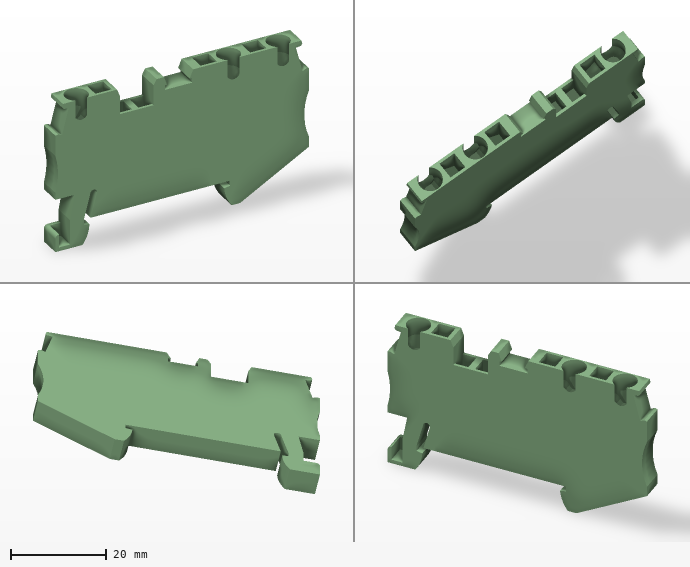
import cadquery as cq
import math


length = 60.4
thickness = 5.15
height = 35.3
end_y = length / 2

latch = [
    (28.4, height),
    (28.55, 34.4),
    (28.2, 34.0),
    (27.05, 33.9),
    (28.6, 27.8),
    (29.6, 28.25),
    (end_y, 28.1),
]

front_waist_top, front_waist_bottom, front_waist_depth = 23.2, 14.3, 0.6
back_waist_top, back_waist_bottom, back_waist_depth = 22.9, 11.55, 1.15

rail_z = 6.05
back_corner_z = 9.2
hook_lip_z = 4.6
hook_inner_z = 4.85
hook_curve_z = 2.25
back_hook_y = 11.4
back_hook_toe = (13.8, 0)
back_hook_heel = (11.8, 0)
back_hook_curve = (10.5, hook_curve_z)
back_hook_lip = (9.95, hook_lip_z)
spring_root_z = 12.6
slit_mouth_inner_y = -21.8
slit_inner = (-20.3, 11.85)
slit_end = (-21.1, spring_root_z)
slit_outer = (-21.9, 11.7)
spring_inner_y = -23.45
spring_hook_lip = (-22.1, hook_lip_z)
spring_hook_curve = (-22.5, hook_curve_z)
spring_hook_heel = (-23.75, 0)
spring_root_y = -25.6
spring_bend_z = 6.75
spring_tip_z = 4.05
tab_wall = 0.9
spring_tip_radius = tab_wall
spring_outer_y = -26.7

groove_floor_z = 32.15
groove_lip_z = 33.3
groove_back_y, groove_back_lip_y, groove_back_top_y = 2.35, 1.75, 2.6
groove_front_y, groove_front_lip_y, groove_front_top_y = -4.1, -3.6, -4.35
slot_floor_z = 29.2
slot_back_y = -6.8
slot_front_y = -14.85
slot_back_bevel_z, slot_back_top_y = 33.95, -6.1
slot_front_bevel_z, slot_front_top_y = 33.6, -15.5

funnel_places = [(24.05, 1), (12.2, 1), (-24.05, -1)]
entry_radius = 2.65
entry_x = 0.3
entry_depth = 4.2
throat_radius = 1.45
throat_x = 0.1
cone_depth = 2.7
ramp_break = 1.95
ramp_break_depth = 2.0
ramp_foot = 1.2

pocket_width = 3.85
pocket_places = [(18.4, 1), (6.65, 1), (-18.4, -1)]
pocket_depth = 4.2
pocket_floor_angle = 38.0

jumper_depth = 4.85
jumper_back_length = 3.25
jumper_front_length = 3.2


def prism(points, x_min, x_max):
    """Extrude a YZ polygon between two X positions."""
    return cq.Workplane("YZ", origin=(x_min, 0, 0)).polyline(points).close().extrude(x_max - x_min)


def middle(a, b):
    return (a + b) / 2


def body():
    front_latch = [(-y, z) for y, z in latch]
    outline = (
        cq.Workplane("YZ", origin=(-thickness / 2, 0, 0))
        .polyline(latch)
        .lineTo(end_y, back_waist_top)
        .threePointArc(
            (end_y - back_waist_depth, middle(back_waist_top, back_waist_bottom)),
            (end_y, back_waist_bottom),
        )
        .lineTo(end_y, back_corner_z)
        .lineTo(*back_hook_toe)
        .lineTo(*back_hook_heel)
        .threePointArc(back_hook_curve, back_hook_lip)
        .lineTo(back_hook_y, hook_inner_z)
        .lineTo(back_hook_y, rail_z)
        .lineTo(slit_mouth_inner_y, rail_z)
        .lineTo(*slit_inner)
        .threePointArc(slit_end, slit_outer)
        .lineTo(spring_inner_y, rail_z)
        .lineTo(spring_inner_y, hook_inner_z)
        .lineTo(*spring_hook_lip)
        .threePointArc(spring_hook_curve, spring_hook_heel)
        .lineTo(-end_y, 0)
        .lineTo(-end_y, spring_tip_z - spring_tip_radius)
        .radiusArc((-end_y + spring_tip_radius, spring_tip_z), spring_tip_radius)
        .lineTo(spring_outer_y, spring_tip_z)
        .lineTo(spring_outer_y, spring_bend_z)
        .lineTo(spring_root_y, spring_root_z)
        .lineTo(-end_y, spring_root_z)
        .lineTo(-end_y, front_waist_bottom)
        .threePointArc(
            (-end_y + front_waist_depth, middle(front_waist_top, front_waist_bottom)),
            (-end_y, front_waist_top),
        )
    )
    for point in reversed(front_latch):
        outline = outline.lineTo(*point)
    return outline.close().extrude(thickness)


def upper_edge_cuts():
    groove = [
        (groove_back_top_y, height),
        (groove_back_lip_y, groove_lip_z),
        (groove_back_y, groove_lip_z),
        (groove_back_y, groove_floor_z),
        (groove_front_y, groove_floor_z),
        (groove_front_y, groove_lip_z),
        (groove_front_lip_y, groove_lip_z),
        (groove_front_top_y, height),
    ]
    slot = [
        (slot_back_top_y, height),
        (slot_back_y, slot_back_bevel_z),
        (slot_back_y, slot_floor_z),
        (slot_front_y, slot_floor_z),
        (slot_front_y, slot_front_bevel_z),
        (slot_front_top_y, height),
    ]
    half = thickness / 2
    return prism(groove, -half, half).union(prism(slot, -half, half))


def release_tab_recess():
    tab_recess = [
        (spring_outer_y, spring_tip_z),
        (spring_outer_y, tab_wall),
        (-end_y + tab_wall, tab_wall),
        (-end_y + tab_wall, spring_tip_z),
    ]
    return prism(tab_recess, -thickness / 2 + tab_wall, thickness / 2)


def wire_funnel(y, side):
    cone_top = height - entry_depth
    cone_bottom = cone_top - cone_depth
    entry = cq.Workplane("XY", origin=(entry_x, y, cone_top)).circle(entry_radius).extrude(entry_depth)
    cone = (
        cq.Workplane("XY", origin=(entry_x, y, cone_top))
        .circle(entry_radius)
        .workplane(offset=-cone_depth)
        .center(throat_x - entry_x, 0)
        .circle(throat_radius)
        .loft()
    )
    break_z = cone_top - ramp_break_depth
    upper_ramp = prism(
        [
            (y - side * ramp_break, cone_top),
            (y - side * entry_radius, cone_top),
            (y - side * ramp_break, break_z),
        ],
        entry_x - entry_radius,
        entry_x + entry_radius,
    )
    lower_ramp = prism(
        [
            (y, cone_top),
            (y - side * ramp_break, cone_top),
            (y - side * ramp_break, break_z),
            (y - side * ramp_foot, cone_bottom),
            (y, cone_bottom),
        ],
        throat_x - throat_radius,
        throat_x + throat_radius,
    )
    under_ramp = prism(
        [
            (y - side * ramp_foot, cone_bottom),
            (y - side * ramp_break, break_z),
            (y - side * ramp_break, cone_bottom),
        ],
        throat_x - throat_radius,
        throat_x + throat_radius,
    )
    shaft = (
        cq.Workplane("XY", origin=(entry_x, y, cone_bottom))
        .circle(entry_radius)
        .extrude(entry_depth + cone_depth)
    )
    ramps = upper_ramp.union(lower_ramp).intersect(shaft)
    return entry.union(cone.cut(under_ramp)).union(ramps)


def tool_pocket(y, side):
    half = pocket_width / 2
    high_z = height - pocket_depth
    low_z = high_z - pocket_width * math.tan(math.radians(pocket_floor_angle))
    points = [
        (y + side * half, height),
        (y + side * half, high_z),
        (y - side * half, low_z),
        (y - side * half, height),
    ]
    return prism(points, -half, half)


def jumper_pocket(y_min, pocket_length):
    return cq.Workplane("XY", origin=(0, y_min, slot_floor_z - jumper_depth)).box(
        pocket_width, pocket_length, jumper_depth, centered=(True, False, False)
    )


result = body().cut(upper_edge_cuts()).cut(release_tab_recess())
for place in funnel_places:
    result = result.cut(wire_funnel(*place))
for place in pocket_places:
    result = result.cut(tool_pocket(*place))
result = result.cut(jumper_pocket(slot_back_y - jumper_back_length, jumper_back_length))
result = result.cut(jumper_pocket(slot_front_y, jumper_front_length))